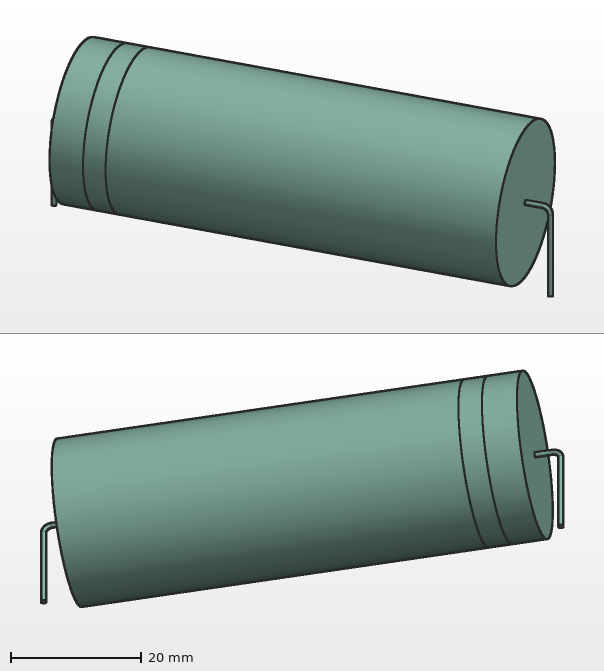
import cadquery as cq

overall_length = 81.9
overall_height = 28.7

barrel_diameter = 26.1
barrel_length = 73.0
barrel_radius = barrel_diameter / 2
barrel_start = -barrel_length / 2
band_offset = 5.5
band_width = 3.7
band_thickness = 0.4

lead_diameter = 0.8
lead_radius = lead_diameter / 2
bend_radius = 1.3
lead_x = overall_length / 2 - lead_radius
lead_bottom = barrel_radius - overall_height


def make_band():
    """Thin ring that lies flush with the barrel surface."""
    return (
        cq.Workplane("YZ", origin=(barrel_start + band_offset, 0, 0))
        .circle(barrel_radius)
        .circle(barrel_radius - band_thickness)
        .extrude(band_width)
    )


def make_barrel(band):
    """Solid cylinder with a groove that holds the band."""
    cylinder = (
        cq.Workplane("YZ", origin=(barrel_start, 0, 0))
        .circle(barrel_radius)
        .extrude(barrel_length)
    )
    return cylinder.cut(band)


def make_lead(side):
    """Round wire from an end face (side -1 or +1), bent down towards -Z."""
    face_x = side * barrel_length / 2
    bend_start_x = side * (lead_x - bend_radius)
    path = (
        cq.Workplane("XZ")
        .moveTo(face_x, 0)
        .lineTo(bend_start_x, 0)
        .tangentArcPoint((side * lead_x, -bend_radius), relative=False)
        .lineTo(side * lead_x, lead_bottom)
    )
    return cq.Workplane("YZ", origin=(face_x, 0, 0)).circle(lead_radius).sweep(path)


band = make_band()
barrel = make_barrel(band)
leads = [make_lead(side) for side in (-1, 1)]

result = cq.Compound.makeCompound([barrel.val(), band.val(), *[lead.val() for lead in leads]])